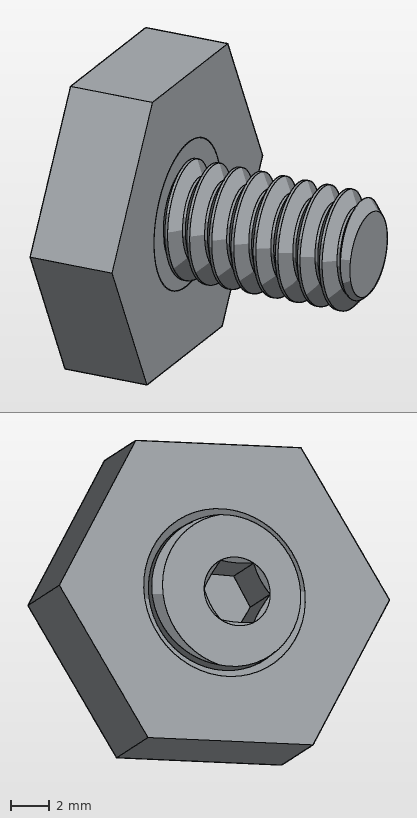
import cadquery as cq
import math


hex_across_flats = 15.875
hex_tilt = 2.43
washer_thickness = 4.72
bore_diameter = 8.14
bore_chamfer = 0.41

eccentricity = 0.525
head_diameter = 8.1
head_stand_out = 0.48
head_height = washer_thickness + head_stand_out
head_face_radius = 4.14

socket_across_flats = 3.175
socket_depth = 3.0
socket_chamfer_angle = 45.0

overall_length = 15.88
thread_length = overall_length - head_height
major_radius = 6.35 / 2
pitch = 1.27
minor_radius = 2.355
flank_angle = 30.0
crest_width = pitch / 8
root_overlap = 0.03
tip_radius = 2.285
top_crest_offset = 0.23


def hexagon(workplane, across_flats):
    """Hexagon with two corners on the local x axis."""
    return workplane.polygon(6, across_flats / math.cos(math.radians(30)))


def make_washer():
    head_axis = cq.Workplane("YZ", origin=(-washer_thickness, 0, 0))
    body = hexagon(head_axis, hex_across_flats).extrude(washer_thickness)
    body = body.rotate((0, 0, 0), (1, 0, 0), -hex_tilt)
    bore = head_axis.circle(bore_diameter / 2).extrude(washer_thickness)
    mouth_radius = bore_diameter / 2 + bore_chamfer
    countersink = cq.Solid.makeCone(
        mouth_radius, bore_diameter / 2, bore_chamfer, cq.Vector(-washer_thickness, 0, 0), cq.Vector(1, 0, 0)
    )
    return body.cut(bore).cut(cq.Workplane(countersink))


def make_head():
    """Round head centred on the washer, its rim bevelled by a 45 degree cone about the screw axis."""
    head = cq.Workplane("YZ", origin=(-head_height, 0, 0)).circle(head_diameter / 2).extrude(head_height)
    bevel_envelope = cq.Solid.makeCone(
        head_face_radius,
        head_face_radius + head_height,
        head_height,
        cq.Vector(-head_height, -eccentricity, 0),
        cq.Vector(1, 0, 0),
    )
    return head.intersect(cq.Workplane(bevel_envelope))


def make_socket():
    """Hex socket on the screw axis; a cone through its corners bevels the mouth."""
    mouth = cq.Workplane("YZ", origin=(-head_height, -eccentricity, 0))
    recess = hexagon(mouth, socket_across_flats).extrude(socket_depth)
    corner_radius = socket_across_flats / 2 / math.cos(math.radians(30))
    cone_height = corner_radius * math.tan(math.radians(socket_chamfer_angle))
    bevel = cq.Solid.makeCone(
        corner_radius, 0, cone_height, cq.Vector(-head_height, -eccentricity, 0), cq.Vector(1, 0, 0)
    )
    return recess.union(cq.Workplane(bevel))


def make_ridge():
    """Thread ridge along local Z: four helical strips and two end caps, longer than the shank at both ends."""
    run_out = 2 * pitch
    ridge_length = thread_length + 2 * run_out
    first_crest = top_crest_offset - run_out
    root_radius = minor_radius - root_overlap
    crest_half = crest_width / 2
    root_half = crest_half + (major_radius - root_radius) * math.tan(math.radians(flank_angle))
    corners = [
        (root_radius, -root_half),
        (major_radius, -crest_half),
        (major_radius, crest_half),
        (root_radius, root_half),
    ]
    edges = [
        cq.Wire.makeHelix(pitch, ridge_length, radius, cq.Vector(0, 0, first_crest + shift))
        for radius, shift in corners
    ]
    strips = [cq.Face.makeRuledSurface(edges[i - 1], edges[i]) for i in range(len(edges))]
    start_corners = [edge.startPoint() for edge in edges]
    end_corners = [edge.endPoint() for edge in edges]
    caps = [
        cq.Face.makeFromWires(cq.Wire.makePolygon(points, close=True))
        for points in (start_corners, end_corners)
    ]
    return cq.Solid.makeSolid(cq.Shell.makeShell(strips + caps))


def make_thread():
    """Right-hand thread along local Z, trimmed to length and to a 45 degree tip by one long cone."""
    core = cq.Workplane("XY").circle(minor_radius).extrude(thread_length)
    tip_envelope = cq.Solid.makeCone(tip_radius + thread_length, tip_radius, thread_length)
    return core.union(cq.Workplane(make_ridge())).intersect(cq.Workplane(tip_envelope))


def make_screw():
    screw_plane = cq.Plane(origin=(0, -eccentricity, 0), xDir=(0, 0, 1), normal=(1, 0, 0))
    thread = cq.Workplane(make_thread().val().moved(cq.Location(screw_plane)))
    return make_head().cut(make_socket()).union(thread)


washer = make_washer()
screw = make_screw()
result = cq.Compound.makeCompound([washer.val(), screw.val()])